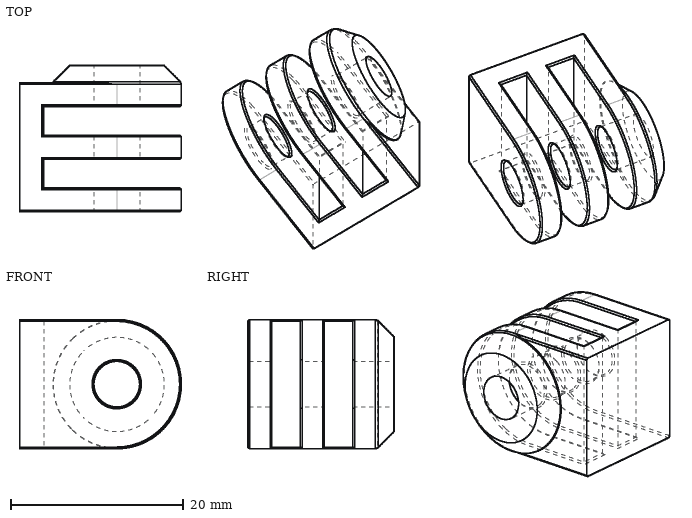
import cadquery as cq

length = 18.78
height = 15.0
arm_count = 3
arm_thickness = 2.8
slot_width = 3.3
slot_floor_x = 2.8
hole_diameter = 5.3
edge_chamfer = 0.2
boss_height = 2.0
boss_top_radius = 5.48
boss_base_radius = 7.38
boss_rim_height = 0.11

arm_radius = height / 2
hole_radius = hole_diameter / 2
pin_x = length - arm_radius
pin_z = height / 2
arm_pitch = arm_thickness + slot_width
body_depth = (arm_count - 1) * arm_pitch + arm_thickness
total_depth = body_depth + boss_height
tolerance = 0.0002


def make_body():
    """Block with a full-round end, extruded along Y."""
    return (
        cq.Workplane("XZ")
        .moveTo(0, 0)
        .lineTo(pin_x, 0)
        .threePointArc((length, pin_z), (pin_x, height))
        .lineTo(0, height)
        .close()
        .extrude(-body_depth)
    )


def cut_slots(body):
    """Cut the full-height gaps that separate the arms."""
    for index in range(arm_count - 1):
        slot_start_y = index * arm_pitch + arm_thickness
        slot = cq.Workplane("XY").box(length, slot_width, height, centered=False)
        body = body.cut(slot.translate((slot_floor_x, slot_start_y, 0)))
    return body


def is_rim_edge(edge):
    """True for arm outlines and the top and bottom edges of the slot floors."""
    box = edge.BoundingBox()
    runs_along_y = box.ylen > tolerance
    on_slot_floor = abs(edge.Center().x - slot_floor_x) < tolerance
    on_back = box.xmax < tolerance
    if runs_along_y:
        return on_slot_floor
    return not on_back and not on_slot_floor


def chamfer_rims(body):
    """Bevel the arm outlines and the slot floor edges."""
    edges = [edge for edge in body.edges().vals() if is_rim_edge(edge)]
    return body.newObject(edges).chamfer(edge_chamfer)


def revolve_about_pin(profile):
    """Close a (radius, Y) profile and revolve it about the pin axis."""
    solid = cq.Workplane("XY").polyline(profile).close().revolve(360, (0, 0), (0, 1))
    return solid.translate((pin_x, 0, pin_z))


def make_boss():
    """Cone on the outside of the last arm, with a steeper rim where it meets the arm."""
    rim_start_y = body_depth - edge_chamfer
    return revolve_about_pin([
        (0, rim_start_y),
        (arm_radius, rim_start_y),
        (boss_base_radius, body_depth + boss_rim_height),
        (boss_top_radius, total_depth),
        (0, total_depth),
    ])


def make_hole_mouth(face_y, inward):
    """Conical cutter that chamfers the hole at an arm face; inward is +1 or -1 along Y."""
    return revolve_about_pin([
        (0, face_y),
        (hole_radius + edge_chamfer, face_y),
        (hole_radius, face_y + inward * edge_chamfer),
        (0, face_y + inward * edge_chamfer),
    ])


def cut_pin_hole(part):
    """Drill through all arms and the boss, then chamfer the hole at every plain arm face."""
    part = part.cut(revolve_about_pin([
        (0, 0),
        (hole_radius, 0),
        (hole_radius, total_depth),
        (0, total_depth),
    ]))
    for index in range(arm_count):
        arm_start_y = index * arm_pitch
        part = part.cut(make_hole_mouth(arm_start_y, 1))
        if index < arm_count - 1:
            part = part.cut(make_hole_mouth(arm_start_y + arm_thickness, -1))
    return part


body = chamfer_rims(cut_slots(make_body()))
result = cut_pin_hole(body.union(make_boss()))